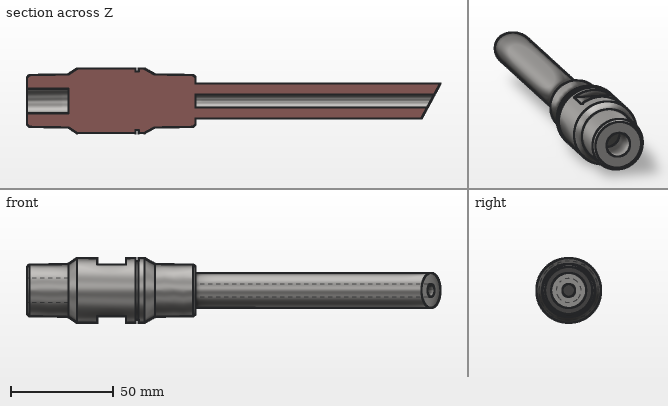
import cadquery as cq
import math

total_length = 202.3
body_length = 82.5
collar_diameter = 31.8
end_diameter = 25.5
shoulder_diameter = 26.0
tube_diameter = 17.2

edge_chamfer = 1.2
front_cone_start = 20.2
front_cone_end = 24.5
rear_cone_start = 57.5
rear_cone_end = 62.5
groove_start = 53.2
groove_width = 1.5
groove_diameter = 29.0

flat_start = 34.4
flat_end = 48.3
across_flats = 25.5

tip_angle = 28.5
tip_length = tube_diameter * math.tan(math.radians(tip_angle))
socket_diameter = 12.0
socket_depth = front_cone_start
lumen_diameter = 6.3


def cylinder_along_x(diameter, start, end):
    return cq.Workplane("YZ", origin=(start, 0, 0)).circle(diameter / 2).extrude(end - start)


def make_body():
    end_radius = end_diameter / 2
    shoulder_radius = shoulder_diameter / 2
    face_radius = end_radius - edge_chamfer
    collar_radius = collar_diameter / 2
    groove_radius = groove_diameter / 2
    groove_end = groove_start + groove_width
    profile = [
        (0, 0),
        (0, face_radius),
        (edge_chamfer, end_radius),
        (front_cone_start, shoulder_radius),
        (front_cone_end, collar_radius),
        (groove_start, collar_radius),
        (groove_start, groove_radius),
        (groove_end, groove_radius),
        (groove_end, collar_radius),
        (rear_cone_start, collar_radius),
        (rear_cone_end, shoulder_radius),
        (body_length - edge_chamfer, end_radius),
        (body_length, face_radius),
        (body_length, 0),
    ]
    return cq.Workplane("XY").polyline(profile).close().revolve(360, (0, 0, 0), (1, 0, 0))


def cut_wrench_flats(body):
    flat_length = flat_end - flat_start
    for side in (1, -1):
        cutter_center = (
            (flat_start + flat_end) / 2,
            0,
            side * (across_flats + collar_diameter) / 2,
        )
        cutter = cq.Workplane("XY", origin=cutter_center).box(flat_length, collar_diameter, collar_diameter)
        body = body.cut(cutter)
    return body


def make_tip_cutter():
    """Wedge that bevels the tube, leaving its longest edge on the +Y side."""
    radius = tube_diameter / 2
    corners = [
        (total_length, radius),
        (total_length - tip_length, -radius),
        (total_length, -radius),
    ]
    return cq.Workplane("XY").polyline(corners).close().extrude(radius, both=True)


body = cut_wrench_flats(make_body())
tube = cylinder_along_x(tube_diameter, rear_cone_end, total_length).cut(make_tip_cutter())
socket = cylinder_along_x(socket_diameter, 0, socket_depth)
lumen = cylinder_along_x(lumen_diameter, body_length, total_length)

result = body.union(tube).cut(socket).cut(lumen)